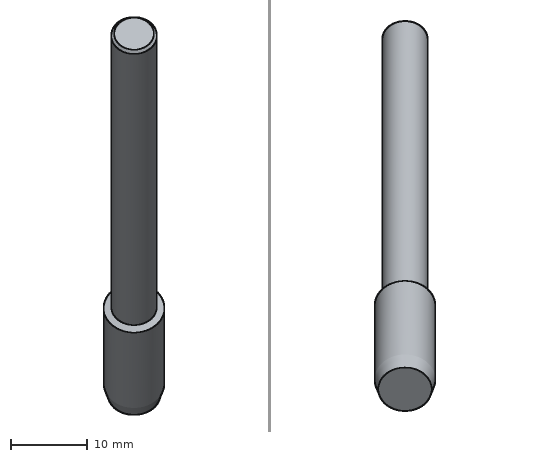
import cadquery as cq

overall_length = 80.0

sleeve_radius = 4.0
sleeve_length = 19.3
taper_end_radius = 3.5
taper_length = 2.25
shoulder_drop = 0.3

bore_radius = 3.25
bore_floor_height = taper_length
lip_thickness = 0.3
bore_top_height = sleeve_length - lip_thickness

rod_radius = 3.0
rod_chamfer = 0.4


def revolve_about_z(profile):
    """Turn a closed outline of (radius, height) points about the Z axis."""
    return cq.Workplane("YZ").polyline(profile).close().revolve(360, (0, 0), (0, 1))


def make_sleeve():
    return revolve_about_z([
        (0, 0),
        (taper_end_radius, 0),
        (sleeve_radius, taper_length),
        (sleeve_radius, sleeve_length - shoulder_drop),
        (rod_radius, sleeve_length),
        (rod_radius, bore_top_height),
        (bore_radius, bore_top_height),
        (bore_radius, bore_floor_height),
        (0, bore_floor_height),
    ])


def make_rod():
    return revolve_about_z([
        (0, bore_floor_height),
        (bore_radius, bore_floor_height),
        (bore_radius, bore_top_height),
        (rod_radius, bore_top_height),
        (rod_radius, overall_length - rod_chamfer),
        (rod_radius - rod_chamfer, overall_length),
        (0, overall_length),
    ])


sleeve = make_sleeve()
rod = make_rod()

result = cq.Compound.makeCompound([sleeve.val(), rod.val()])